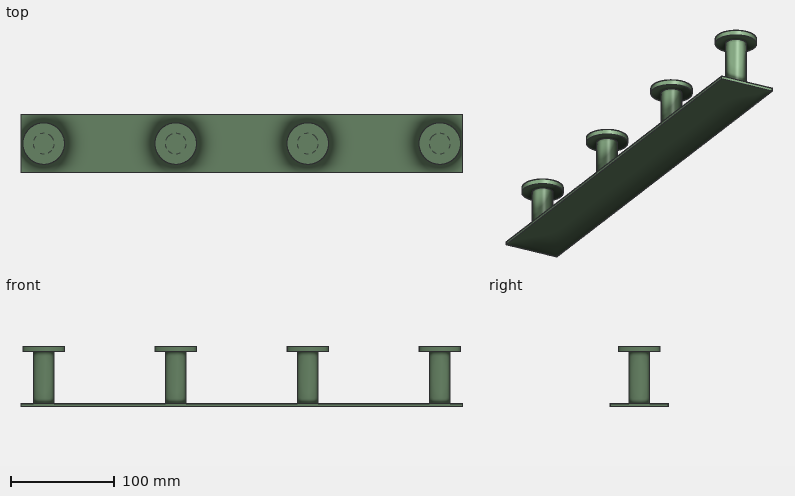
import cadquery as cq

plate_length = 424.99
plate_width = 56.0
plate_thickness = 3.0

total_height = 58.0
stem_diameter = 20.0
head_diameter = 40.0
head_thickness = 5.0

peg_count = 4
peg_spacing = 127.0

stem_length = total_height - plate_thickness - head_thickness


def make_plate():
    """Flat plate with its underside on Z = 0, centred on X and Y."""
    return cq.Workplane("XY").box(
        plate_length, plate_width, plate_thickness, centered=(True, True, False)
    )


def make_peg(x):
    """Stem and head standing on the plate at the given X."""
    stem = (
        cq.Workplane("XY", origin=(x, 0, plate_thickness))
        .circle(stem_diameter / 2)
        .extrude(stem_length)
    )
    head = (
        cq.Workplane("XY", origin=(x, 0, total_height - head_thickness))
        .circle(head_diameter / 2)
        .extrude(head_thickness)
    )
    return stem.union(head)


result = make_plate()
first_peg_x = -(peg_count - 1) * peg_spacing / 2
for index in range(peg_count):
    result = result.union(make_peg(first_peg_x + index * peg_spacing))